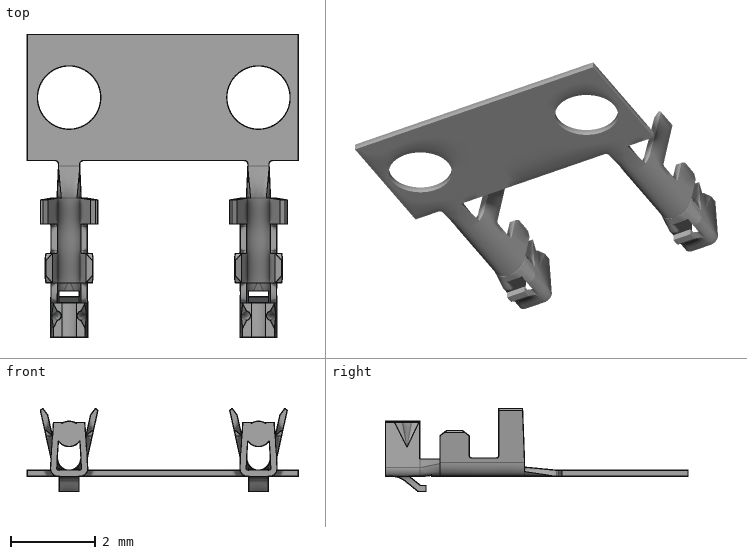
import cadquery as cq
import math


sheet = 0.15
strip_width = 6.45
strip_depth = 3.0
pilot_diameter = 1.5
terminal_count = 2
pitch = 4.5
pilot_margin = 1.0

terminal_positions = [pilot_margin - strip_width / 2 + i * pitch for i in range(terminal_count)]

neck_start = 0.13
insulation_start = 0.89
insulation_end = 1.506
wire_start = 2.20
wire_end = 2.905
box_start = 3.377
terminal_end = 4.20

neck_half_width = 0.255
neck_root_fillet = 0.08
neck_curl = math.radians(43.5)

barrel_radius = 0.42
barrel_lean = math.radians(12.5)
side_wall_height = 0.44
side_wall_fillet = 0.06
rear_wall_height = 0.415
rear_half_flat = 0.03
barrel_form = (0, barrel_radius, barrel_lean)

insulation_height = 1.62
insulation_inner_height = 1.46
insulation_outer_height = 1.57
insulation_tip_inset = 0.07
insulation_front_taper = 0.045

wire_height = 1.095
wire_inner_height = 0.967
wire_outer_height = 1.05
wire_tip_inset = 0.03
wire_corner_run = 0.17
wire_corner_drop = wire_height - wire_inner_height

box_half_flat = 0.25
box_radius = 0.195
box_lean = math.radians(-3.7)
box_wall_height = 1.285
box_form = (box_half_flat, box_radius, box_lean)
curl_radius = 0.304
curl_top = 1.315
curl_height = curl_top - curl_radius
flange_inner = 0.17
flange_thickness = 0.09

dent_start = 3.40
dent_middle = 3.684
dent_end = 3.98
dent_bottom = 0.695
dent_inner = 0.19
dent_nose_half_width = 0.11

lance_half_width = 0.235
window_start = 3.10
window_cut_height = 2 * sheet
lance_tip = 3.229
lance_root = 4.04
lance_bend_radius = 0.50
lance_angle = math.radians(39)
lance_bottom = -0.36


def at_station(station):
    """Cross-section plane at a station: local x is X, local y is Z."""
    return cq.Workplane("XZ", origin=(0, -station, 0))


def wall_x(half_flat, radius, lean, height):
    """X of the outer wall face at a given height."""
    tangent_height = radius * (1 - math.sin(lean))
    return half_flat + radius * math.cos(lean) + (height - tangent_height) * math.tan(lean)


def half_section(plane, form, top, tip=None):
    """Right half of a bent-sheet section; form is (half_flat, radius, lean).

    tip is (inner height, outer height, inset) for a wall end bevelled to a ridge at top.
    """
    half_flat, radius, lean = form
    inner_radius = radius - sheet
    inner_offset = sheet / math.cos(lean)

    def bend_point(bend_radius, angle):
        return (half_flat + bend_radius * math.sin(angle), radius - bend_radius * math.cos(angle))

    bend = math.pi / 2 - lean
    inner_height, outer_height, inset = tip if tip else (top, top, 0)
    section = plane.moveTo(0, 0)
    if half_flat:
        section = section.lineTo(half_flat, 0)
    section = (
        section.threePointArc(bend_point(radius, bend / 2), bend_point(radius, bend))
        .lineTo(wall_x(*form, outer_height), outer_height)
    )
    if tip:
        section = section.lineTo(wall_x(*form, top) - inset, top)
    section = (
        section.lineTo(wall_x(*form, inner_height) - inner_offset, inner_height)
        .lineTo(*bend_point(inner_radius, bend))
        .threePointArc(bend_point(inner_radius, bend / 2), bend_point(inner_radius, 0))
    )
    if half_flat:
        section = section.lineTo(0, sheet)
    return section.close()


def side_prism(points, half_width):
    """Prism from X = 0 to half_width with an outline of (station, height) points."""
    outline = [(-station, height) for station, height in points]
    return cq.Workplane("YZ").polyline(outline).close().extrude(half_width)


def loft_between(first, second):
    """Straight-sided solid between two closed section outlines."""
    wires = [first.val(), second.val()]
    return cq.Workplane(cq.Solid.makeLoft(wires, True))


def make_carrier():
    """Flat carrier strip with one pilot hole in line with each terminal."""
    return (
        cq.Workplane("XY")
        .box(strip_width, strip_depth, sheet, centered=(True, False, False))
        .faces(">Z")
        .workplane(origin=(0, strip_depth / 2, 0))
        .pushPoints([(x, 0) for x in terminal_positions])
        .hole(pilot_diameter)
    )


def make_neck_root():
    """Flat root, filleted into the carrier strip."""
    root_width = neck_half_width + neck_root_fillet
    return (
        cq.Workplane("XY")
        .lineTo(root_width, 0)
        .radiusArc((neck_half_width, -neck_root_fillet), -neck_root_fillet)
        .lineTo(neck_half_width, -neck_start)
        .lineTo(0, -neck_start)
        .close()
        .extrude(sheet)
    )


def make_neck():
    """Full-width neck curling up from the flat root into the start of the barrel."""
    inner_radius = barrel_radius - sheet
    outer_x = barrel_radius * math.sin(neck_curl)
    outer_z = barrel_radius - barrel_radius * math.cos(neck_curl)
    inner_x = inner_radius * math.sin(neck_curl)
    inner_z = barrel_radius - inner_radius * math.cos(neck_curl)
    flat = (
        at_station(neck_start)
        .moveTo(-neck_half_width, 0)
        .lineTo(neck_half_width, 0)
        .lineTo(neck_half_width, sheet)
        .lineTo(-neck_half_width, sheet)
        .close()
    )
    curled = (
        at_station(insulation_start)
        .moveTo(-outer_x, outer_z)
        .threePointArc((0, 0), (outer_x, outer_z))
        .lineTo(inner_x, inner_z)
        .threePointArc((0, sheet), (-inner_x, inner_z))
        .close()
    )
    return loft_between(flat, curled)


def make_insulation_wing():
    """Tall barrel section with bevelled tip and slightly tapered front edge."""
    tip = (insulation_inner_height, insulation_outer_height, insulation_tip_inset)
    wing = half_section(at_station(insulation_start), barrel_form, insulation_height, tip)
    wing = wing.extrude(insulation_end - insulation_start)
    taper = [
        (insulation_start, barrel_radius),
        (insulation_start, insulation_height),
        (insulation_start + insulation_front_taper, insulation_height),
    ]
    return wing.cut(side_prism(taper, pitch / 2))


def make_side_wall():
    """Low wall joining the two wings, rounded up into each of them."""
    gap = wire_start - insulation_end
    wall = half_section(at_station(insulation_end), barrel_form, side_wall_height + side_wall_fillet)
    wall = wall.extrude(gap)
    slot = (
        cq.Workplane("XY", origin=(0, -wire_start, side_wall_height))
        .box(pitch / 2, gap, side_wall_height, centered=False)
        .edges("|X and <Z")
        .fillet(side_wall_fillet)
    )
    return wall.cut(slot)


def make_wire_wing():
    """Shorter barrel section with bevelled tip and chamfered corners."""
    tip = (wire_inner_height, wire_outer_height, wire_tip_inset)
    wing = half_section(at_station(wire_start), barrel_form, wire_height, tip)
    wing = wing.extrude(wire_end - wire_start)
    for edge, inward in ((wire_start, 1), (wire_end, -1)):
        corner = [
            (edge, wire_height - wire_corner_drop),
            (edge, wire_height),
            (edge + inward * wire_corner_run, wire_height),
        ]
        wing = wing.cut(side_prism(corner, pitch / 2))
    return wing


def make_rear_wall():
    """Low wall whose narrow floor widens from the barrel to the flat floor of the box."""
    rear_form = (rear_half_flat, barrel_radius - rear_half_flat, barrel_lean)
    barrel = half_section(at_station(wire_end), rear_form, rear_wall_height)
    box = half_section(at_station(box_start), box_form, rear_wall_height)
    return loft_between(barrel, box)


def make_dent():
    """Round-nosed cone, pointing down, that is pressed into the box wall."""
    rim_x = wall_x(*box_form, box_wall_height)
    shoulder_x = (dent_inner + rim_x) / 2
    rim = (
        cq.Workplane("XY", origin=(0, 0, box_wall_height))
        .moveTo(rim_x, -dent_start)
        .lineTo(shoulder_x, dent_nose_half_width - dent_middle)
        .threePointArc((dent_inner, -dent_middle), (shoulder_x, -dent_nose_half_width - dent_middle))
        .lineTo(rim_x, -dent_end)
        .close()
    )
    point = cq.Vertex.makeVertex(wall_x(*box_form, dent_bottom), -dent_middle, dent_bottom)
    return cq.Workplane(cq.occ_impl.shapes.loft(rim.val(), point, cap=True, ruled=True))


def make_box():
    """Half of the contact box, closed on top by the rolled curl and wall flange."""
    length = terminal_end - box_start
    walls = half_section(at_station(box_start), box_form, box_wall_height).extrude(length)
    curl = (
        at_station(box_start)
        .moveTo(0, curl_height - curl_radius)
        .threePointArc((curl_radius, curl_height), (0, curl_top))
        .close()
        .extrude(length)
    )
    flange_bottom = box_wall_height - flange_thickness
    flange = (
        at_station(box_start)
        .moveTo(flange_inner, flange_bottom)
        .lineTo(wall_x(*box_form, flange_bottom), flange_bottom)
        .lineTo(wall_x(*box_form, box_wall_height), box_wall_height)
        .lineTo(flange_inner, box_wall_height)
        .close()
        .extrude(length)
    )
    return walls.union(curl).union(flange).cut(make_dent())


def make_window():
    """Opening left by the lance, tall enough to clear the curved floor at its rear."""
    length = lance_root - window_start
    return (
        cq.Workplane("XY", origin=(0, -lance_root, 0))
        .box(lance_half_width, length, window_cut_height, centered=False)
    )


def make_lance():
    """Strip that curves down from the floor, slopes, then flattens at its tip."""

    def root_arc(radius, angle):
        return (radius * math.sin(angle) - lance_root, radius * math.cos(angle) - lance_bend_radius)

    def slope_foot(radius, height):
        y, z = root_arc(radius, lance_angle)
        return (y + (z - height) / math.tan(lance_angle), height)

    outer_radius = lance_bend_radius + sheet
    lance_top = lance_bottom + sheet
    return (
        cq.Workplane("YZ")
        .moveTo(-lance_root, 0)
        .threePointArc(root_arc(lance_bend_radius, lance_angle / 2), root_arc(lance_bend_radius, lance_angle))
        .lineTo(*slope_foot(lance_bend_radius, lance_bottom))
        .lineTo(-lance_tip, lance_bottom)
        .lineTo(-lance_tip, lance_top)
        .lineTo(*slope_foot(outer_radius, lance_top))
        .lineTo(*root_arc(outer_radius, lance_angle))
        .threePointArc(root_arc(outer_radius, lance_angle / 2), root_arc(outer_radius, 0))
        .close()
        .extrude(lance_half_width)
    )


def make_terminal():
    """Complete terminal, centred on X = 0."""
    half = make_neck_root()
    for make_section in (make_insulation_wing, make_side_wall, make_wire_wing, make_rear_wall, make_box):
        half = half.union(make_section())
    half = half.cut(make_window()).union(make_lance())
    return half.union(half.mirror("YZ")).union(make_neck())


terminal = make_terminal()
result = make_carrier()
for terminal_x in terminal_positions:
    result = result.union(terminal.translate((terminal_x, 0, 0)))